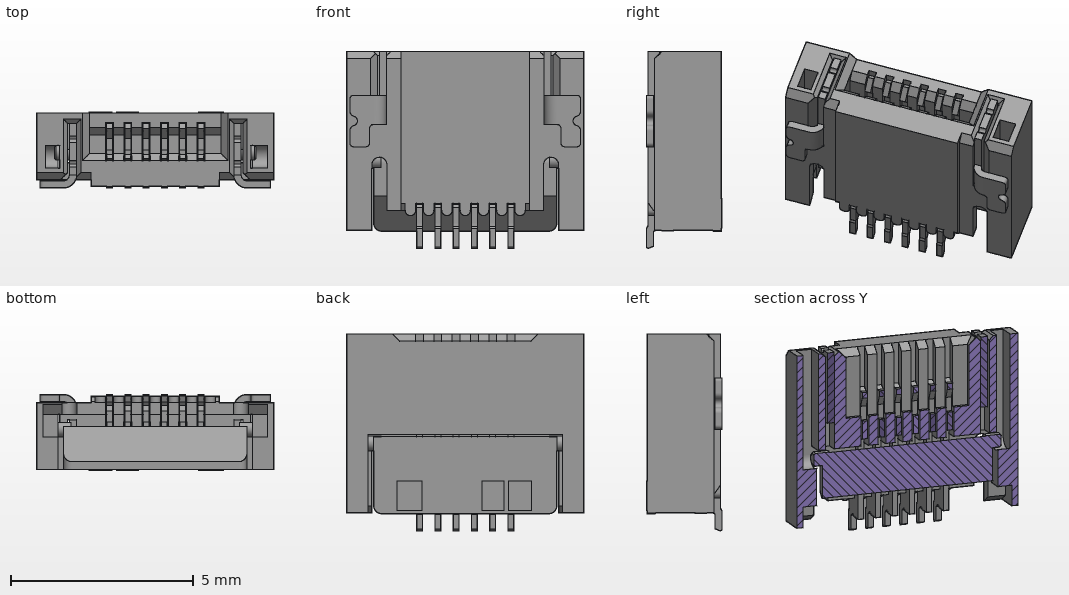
import cadquery as cq
import math


WIDTH = 6.5
HEIGHT = 4.9
DEPTH = 1.83
LEAD_IN = 0.2
MARGIN = 0.325

PAD_HALF = 1.755
PAD_RISE = 0.175
PAD_NOTCH_TOP_DEPTH = 0.02
PAD_NOTCH_BOTTOM_DEPTH = 0.15
WALL_HALF = 2.145
WALL_BOTTOM = 0.545

CONTACT_COUNT = 6
PITCH = 0.5
CONTACT_THICK = 0.16
SLOT_WIDTH = 0.215
TAIL_SLOT_TOP = 0.74
SOLDER_FRONT = -0.22
SOLDER_BACK = -0.02
TAIL_TIP = -0.5
STEM_FRONT = 0.325
STEM_BACK = 0.525
BRIDGE_BOTTOM = 2.34
BRIDGE_TOP = 2.86
CONTACT_BACK = 1.54
SLOT_BACK = 1.57
TIP_BACK_RISE = 0.065
TIP_FRONT_CUT = 0.045
JOG_BOTTOM = 0.045
JOG_MIDDLE_Y = -0.18
JOG_MIDDLE_Z = 0.11
JOG_TOP = 0.175
TAIL_TOP = 0.71
TAIL_TOP_CHAMFER = 0.08
ARM_TIP_FRONT = 0.59
ARM_TIP_EDGE = 0.695
ARM_TIP_TOP = 3.77
ARM_BACK = 0.715
ARM_BUMP_Y = 0.825
ARM_BUMP_TOP = 3.67
ARM_BUMP_MIDDLE = 3.51
ARM_BUMP_BOTTOM = 3.25
HOOK_ARM_FRONT = 1.33
HOOK_BOTTOM = 4.03
HOOK_POINT_Y = 1.13
HOOK_POINT_Z = 4.32
HOOK_TOP_Y = 1.405
HOOK_TOP = 4.615
HOOK_SHOULDER_Y = 1.49
HOOK_SHOULDER_Z = 4.575
HOOK_BACK_TOP = 4.54
BASE_BOTTOM = -0.02
BASE_FRONT = 0.23
ARCH_Y = 0.08
ARCH_Z = 0.04
ARCH_END_Z = -0.04

CAVITY_HALF = 1.795
CAVITY_FRONT = 0.73
CAVITY_BACK = 1.23
CAVITY_FLOOR = 2.99
BACK_WALL_TOP = HEIGHT - LEAD_IN

BAY_HALF = 2.66
BAY_FRONT = 0.325
BAY_TOP = 2.145
LEG_SLOT_TOP = 2.0
LEG_INNER = 2.555
ACTUATOR_HALF = 2.51
ACTUATOR_FRONT = 0.65
ACTUATOR_BOTTOM = -0.025
ACTUATOR_EDGE = 0.215
ACTUATOR_CORNER = 0.23
SLOPE_TOP = 0.94
NOSE_START = 1.825
NOSE_RADIUS = 0.26
AXLE_RADIUS = 0.2
AXLE_Y = 0.74
AXLE_Z = 1.9
AXLE_INNER = 2.3
AXLE_OUTER = 2.755
AXLE_CHAMFER = 0.045
BACK_PAD_RISE = 0.025
BACK_PAD_BOTTOM = 0.06
BACK_PAD_TOP = 0.87
BACK_PAD_SPANS = [(-1.81, -1.19), (-1.065, -0.455), (1.18, 1.87)]

RELIEF_TOP = 0.585
RELIEF_LEAD_TOP = 0.18
RELIEF_LEAD_FRONT = 0.05

WINDOW_INNER = 2.62
WINDOW_OUTER_LEFT = 3.0
WINDOW_OUTER_RIGHT = 3.07
WINDOW_FRONT = 0.325
WINDOW_BACK = 0.94

TAB_INNER = 2.15
TAB_THICK = 0.2
TAB_BACK = 1.55
TAB_BOTTOM = 2.89
FOOT_TOP = 3.7
FOOT_BOTTOM = 2.29
FOOT_OUTER = 3.16
FOOT_INNER = 2.62
FOOT_CORNER = 0.105
BEND_RADIUS = 0.36
FOOT_NOTCH_RADIUS = 0.13
FOOT_NOTCH_X = 3.08
FOOT_NOTCH_Z = 2.995
FOOT_NOTCH_EDGE_FILLET = 0.155
DIP_CENTRES = [1.12, 0.44]
DIP_HALF = 0.09
GROOVE_OUTER = 2.4
GROOVE_LEAD = 0.12
GROOVE_OPENING_FRONT = 0.475


def box(x0, x1, y0, y1, z0, z1):
    """Axis-aligned block between opposite corners."""
    return cq.Workplane("XY").box(x1 - x0, y1 - y0, z1 - z0, centered=False).translate((x0, y0, z0))


def prism_x(points, x0, x1):
    """Closed (y, z) outline extruded from x0 to x1."""
    return cq.Workplane("YZ").polyline(points).close().extrude(x1 - x0).translate((x0, 0, 0))


def mirrored(body):
    """Copy of a body on the other side of the YZ plane."""
    return body.mirror("YZ")


def contact_positions():
    first = -PITCH * (CONTACT_COUNT - 1) / 2
    return [first + i * PITCH for i in range(CONTACT_COUNT)]


def housing_shell():
    """Main block with the top front chamfer and the raised front pad."""
    side = [
        (0, 0), (DEPTH, 0), (DEPTH, HEIGHT),
        (LEAD_IN, HEIGHT), (0, HEIGHT - LEAD_IN),
    ]
    shell = prism_x(side, -WIDTH / 2, WIDTH / 2)
    pad_side = [
        (LEAD_IN, WALL_BOTTOM), (PAD_NOTCH_BOTTOM_DEPTH - PAD_RISE, WALL_BOTTOM),
        (PAD_NOTCH_TOP_DEPTH - PAD_RISE, TAIL_SLOT_TOP), (-PAD_RISE, TAIL_SLOT_TOP),
        (-PAD_RISE, HEIGHT), (LEAD_IN, HEIGHT),
    ]
    return shell.union(prism_x(pad_side, -PAD_HALF, PAD_HALF))


def actuator_bay():
    """Space behind the front wall for the actuator, open at the back and the bottom."""
    bay = box(-BAY_HALF, BAY_HALF, BAY_FRONT, DEPTH + MARGIN, -MARGIN, BAY_TOP)
    below_wall = box(-LEG_INNER, LEG_INNER, -MARGIN, BAY_FRONT, -MARGIN, WALL_BOTTOM)
    return bay.union(below_wall)


def leg_relief():
    """Hollow in the bottom of the left leg, with a sloped lead at the front."""
    side = [
        (RELIEF_LEAD_FRONT, 0), (BAY_FRONT, RELIEF_LEAD_TOP), (BAY_FRONT, RELIEF_TOP),
        (WINDOW_BACK, RELIEF_TOP), (WINDOW_BACK, 0),
    ]
    return prism_x(side, -WINDOW_OUTER_RIGHT, -LEG_INNER)


def leg_slot():
    """Round-topped slot between the left leg and the front wall."""
    radius = (LEG_INNER - WALL_HALF) / 2
    spring = LEG_SLOT_TOP - radius
    return (
        cq.Workplane("XZ", origin=(0, BAY_FRONT, 0))
        .moveTo(-LEG_INNER, -MARGIN)
        .lineTo(-LEG_INNER, spring)
        .threePointArc((-LEG_INNER + radius, LEG_SLOT_TOP), (-WALL_HALF, spring))
        .lineTo(-WALL_HALF, -MARGIN)
        .close()
        .extrude(BAY_FRONT + MARGIN)
    )


def cable_cavity():
    """Cable slot with lead-in chamfers; its back edge is lower than the front one."""
    mouth_half = CAVITY_HALF + LEAD_IN
    slope = CAVITY_BACK + LEAD_IN
    pocket_side = [
        (CAVITY_FRONT, CAVITY_FLOOR), (CAVITY_FRONT, BACK_WALL_TOP), (CAVITY_FRONT, HEIGHT),
        (DEPTH + MARGIN, HEIGHT), (DEPTH + MARGIN, BACK_WALL_TOP), (slope, BACK_WALL_TOP),
        (CAVITY_BACK, BACK_WALL_TOP - LEAD_IN), (CAVITY_BACK, CAVITY_FLOOR),
    ]
    pocket = prism_x(pocket_side, -CAVITY_HALF, CAVITY_HALF)
    mouth = (
        cq.Workplane("XZ")
        .polyline([
            (-CAVITY_HALF, BACK_WALL_TOP), (CAVITY_HALF, BACK_WALL_TOP),
            (mouth_half, HEIGHT), (-mouth_half, HEIGHT),
        ])
        .close()
        .extrude(-2 * DEPTH)
    )
    front_slope = [
        (CAVITY_FRONT - LEAD_IN, HEIGHT), (CAVITY_FRONT, BACK_WALL_TOP),
        (DEPTH + MARGIN, BACK_WALL_TOP), (DEPTH + MARGIN, HEIGHT),
    ]
    mouth = mouth.intersect(prism_x(front_slope, -mouth_half, mouth_half))
    return pocket.union(mouth)


def contact_slot(x):
    """Clearance for one contact: tail slot, stem and bridge recess, and arm slot."""
    left = x - SLOT_WIDTH / 2
    right = x + SLOT_WIDTH / 2
    tail = box(left, right, -MARGIN, BAY_FRONT, 0, TAIL_SLOT_TOP)
    bridge = box(left, right, STEM_FRONT, SLOT_BACK, BAY_TOP, BRIDGE_TOP)
    arms = box(left, right, STEM_BACK, SLOT_BACK, BRIDGE_TOP, HEIGHT)
    return tail.union(bridge).union(arms)


def wall_lobes():
    """Round-ended tongues below the pad, on both sides of every contact."""
    width = PITCH - SLOT_WIDTH
    lobes = cq.Workplane("XY")
    for i in range(CONTACT_COUNT + 1):
        x = (i - CONTACT_COUNT / 2) * PITCH
        lobe = (
            cq.Workplane("XZ")
            .moveTo(x - width / 2, TAIL_SLOT_TOP)
            .lineTo(x - width / 2, WALL_BOTTOM)
            .threePointArc((x, WALL_BOTTOM - width / 2), (x + width / 2, WALL_BOTTOM))
            .lineTo(x + width / 2, TAIL_SLOT_TOP)
            .close()
            .extrude(PAD_RISE)
        )
        lobes = lobes.union(lobe)
    return lobes


def axle_window(outer):
    """Left top window that ends in a rounded trough under the actuator axle."""
    radius = (WINDOW_BACK - WINDOW_FRONT) / 2
    middle = (WINDOW_BACK + WINDOW_FRONT) / 2
    shaft = box(-outer, -WINDOW_INNER, WINDOW_FRONT, WINDOW_BACK, AXLE_Z, HEIGHT)
    trough = (
        cq.Workplane("YZ")
        .center(middle, AXLE_Z)
        .circle(radius)
        .extrude(outer - WINDOW_INNER)
        .translate((-outer, 0, 0))
    )
    return shaft.union(trough)


def tab_groove():
    """Left groove for a hold-down tab, with chamfered mouth and front edge."""
    groove = box(-GROOVE_OUTER, -TAB_INNER, -MARGIN, TAB_BACK, TAB_BOTTOM, HEIGHT)
    opening = box(-GROOVE_OUTER, -TAB_INNER, GROOVE_OPENING_FRONT, TAB_BACK, BAY_TOP, TAB_BOTTOM)
    mouth_length = TAB_BACK + MARGIN
    mouth_width = GROOVE_OUTER - TAB_INNER
    mouth = (
        cq.Workplane("XY")
        .rect(mouth_width + 2 * GROOVE_LEAD, mouth_length + 2 * GROOVE_LEAD)
        .workplane(offset=-GROOVE_LEAD)
        .rect(mouth_width, mouth_length)
        .loft(ruled=True)
        .translate((-(GROOVE_OUTER + TAB_INNER) / 2, TAB_BACK - mouth_length / 2, HEIGHT))
    )
    front_edge = (
        cq.Workplane("XY")
        .polyline([(-GROOVE_OUTER - LEAD_IN, 0), (-GROOVE_OUTER, LEAD_IN), (-GROOVE_OUTER, 0)])
        .close()
        .extrude(HEIGHT - TAB_BOTTOM)
        .translate((0, 0, TAB_BOTTOM))
    )
    return groove.union(opening).union(mouth).union(front_edge)


def make_housing():
    body = housing_shell().cut(actuator_bay()).cut(cable_cavity())
    body = body.union(wall_lobes())
    for cutter in (leg_slot(), leg_relief(), tab_groove()):
        body = body.cut(cutter).cut(mirrored(cutter))
    body = body.cut(axle_window(WINDOW_OUTER_LEFT)).cut(mirrored(axle_window(WINDOW_OUTER_RIGHT)))
    for x in contact_positions():
        body = body.cut(contact_slot(x))
    return body


def make_contact(x):
    """Flat stamped contact: solder tail, stem, bridge and two spring arms."""
    tail = [
        (SOLDER_BACK, TAIL_TIP + TIP_BACK_RISE), (SOLDER_FRONT + TIP_FRONT_CUT, TAIL_TIP),
        (SOLDER_FRONT, TAIL_TIP + TIP_FRONT_CUT), (SOLDER_FRONT, JOG_BOTTOM),
        (JOG_MIDDLE_Y, JOG_MIDDLE_Z), (-PAD_RISE, JOG_TOP),
        (-PAD_RISE, TAIL_TOP - TAIL_TOP_CHAMFER), (-PAD_RISE + TAIL_TOP_CHAMFER, TAIL_TOP),
    ]
    front_arm = [
        (STEM_FRONT, TAIL_TOP), (STEM_FRONT, BRIDGE_TOP), (STEM_BACK, BRIDGE_TOP),
        (ARM_TIP_FRONT, ARM_TIP_TOP), (ARM_TIP_EDGE, ARM_BUMP_TOP), (ARM_BUMP_Y, ARM_BUMP_TOP),
        (ARM_BUMP_Y, ARM_BUMP_MIDDLE), (ARM_BACK, ARM_BUMP_BOTTOM), (ARM_BACK, BRIDGE_TOP),
    ]
    back_arm = [
        (HOOK_ARM_FRONT, BRIDGE_TOP), (HOOK_ARM_FRONT, HOOK_BOTTOM), (HOOK_POINT_Y, HOOK_POINT_Z),
        (HOOK_TOP_Y, HOOK_TOP), (HOOK_SHOULDER_Y, HOOK_SHOULDER_Z), (CONTACT_BACK, HOOK_BACK_TOP),
        (CONTACT_BACK, BRIDGE_BOTTOM),
    ]
    base = [
        (STEM_BACK, BRIDGE_BOTTOM), (STEM_BACK, BASE_BOTTOM), (BASE_FRONT, BASE_BOTTOM),
        (ARCH_Y, ARCH_Z), (SOLDER_BACK, ARCH_END_Z),
    ]
    outline = tail + front_arm + back_arm + base
    return prism_x(outline, x - CONTACT_THICK / 2, x + CONTACT_THICK / 2)


def tab_plate():
    """Upright plate of the left tab, with shallow dips in its top edge."""
    front = SOLDER_FRONT + BEND_RADIUS
    plate = box(-TAB_INNER - TAB_THICK, -TAB_INNER, front, TAB_BACK, TAB_BOTTOM, HEIGHT)
    for y in DIP_CENTRES:
        rise = DIP_HALF * math.sqrt(0.5)
        dip = (
            cq.Workplane("YZ")
            .moveTo(y - DIP_HALF, HEIGHT)
            .lineTo(y, HEIGHT - DIP_HALF)
            .threePointArc((y + rise, HEIGHT - rise), (y + DIP_HALF, HEIGHT))
            .close()
            .extrude(-WIDTH / 2)
        )
        plate = plate.cut(dip)
    return plate


def tab_bend():
    """Quarter bend joining the upright plate to the foot."""
    inner = BEND_RADIUS - TAB_THICK
    centre_x = -TAB_INNER - BEND_RADIUS
    centre_y = SOLDER_FRONT + BEND_RADIUS
    quarter = box(centre_x, centre_x + BEND_RADIUS, SOLDER_FRONT, centre_y, TAB_BOTTOM, FOOT_TOP)
    ring = (
        cq.Workplane("XY")
        .center(centre_x, centre_y)
        .circle(BEND_RADIUS)
        .circle(inner)
        .extrude(FOOT_TOP)
    )
    return ring.intersect(quarter)


def tab_foot():
    """Flat solder foot with a rounded notch in its outer edge."""
    bend_edge = -TAB_INNER - BEND_RADIUS
    foot = (
        cq.Workplane("XZ")
        .polyline([
            (bend_edge, FOOT_TOP), (-FOOT_OUTER, FOOT_TOP), (-FOOT_OUTER, FOOT_BOTTOM),
            (-FOOT_INNER, FOOT_BOTTOM), (-FOOT_INNER, TAB_BOTTOM), (bend_edge, TAB_BOTTOM),
        ])
        .close()
        .extrude(TAB_THICK)
        .translate((0, SOLDER_BACK, 0))
    )
    foot = foot.edges("|Y").edges("<X or <Z").fillet(FOOT_CORNER)
    inside_corner = cq.selectors.NearestToPointSelector(
        (-FOOT_INNER, SOLDER_BACK - TAB_THICK / 2, TAB_BOTTOM)
    )
    foot = foot.edges(inside_corner).fillet(FOOT_CORNER)
    notch = (
        cq.Workplane("XZ")
        .center(-FOOT_NOTCH_X, FOOT_NOTCH_Z)
        .circle(FOOT_NOTCH_RADIUS)
        .extrude(WIDTH, both=True)
    )
    foot = foot.cut(notch)
    notch_rim = cq.selectors.BoxSelector(
        (-FOOT_NOTCH_X, SOLDER_FRONT, FOOT_NOTCH_Z - FOOT_NOTCH_RADIUS),
        (-WIDTH / 2, SOLDER_BACK, FOOT_NOTCH_Z + FOOT_NOTCH_RADIUS),
    )
    return foot.edges("|Y").edges(notch_rim).fillet(FOOT_NOTCH_EDGE_FILLET)


def make_tab():
    return tab_plate().union(tab_bend()).union(tab_foot())


def make_actuator():
    """Flip actuator: wedge-shaped plate with a rounded nose, two axles and raised back pads."""
    nose_mid = NOSE_RADIUS * (1 - math.sqrt(0.5))
    plate = (
        cq.Workplane("YZ")
        .moveTo(DEPTH, ACTUATOR_BOTTOM)
        .lineTo(DEPTH - ACTUATOR_EDGE, ACTUATOR_BOTTOM)
        .lineTo(ACTUATOR_FRONT, SLOPE_TOP)
        .lineTo(ACTUATOR_FRONT, NOSE_START)
        .threePointArc(
            (ACTUATOR_FRONT + nose_mid, NOSE_START + NOSE_RADIUS - nose_mid),
            (ACTUATOR_FRONT + NOSE_RADIUS, NOSE_START + NOSE_RADIUS),
        )
        .lineTo(DEPTH, NOSE_START + NOSE_RADIUS)
        .close()
        .extrude(ACTUATOR_HALF, both=True)
    )
    rounding = box(-ACTUATOR_HALF, ACTUATOR_HALF, 0, DEPTH, ACTUATOR_BOTTOM, HEIGHT)
    plate = plate.intersect(rounding.edges("|Y and <Z").fillet(ACTUATOR_CORNER))
    axle = (
        cq.Workplane("YZ")
        .center(AXLE_Y, AXLE_Z)
        .circle(AXLE_RADIUS)
        .extrude(AXLE_OUTER - AXLE_INNER)
        .translate((-AXLE_OUTER, 0, 0))
        .faces("<X")
        .chamfer(AXLE_CHAMFER)
    )
    plate = plate.union(axle).union(mirrored(axle))
    for x0, x1 in BACK_PAD_SPANS:
        pad = box(x0, x1, DEPTH - ACTUATOR_EDGE, DEPTH + BACK_PAD_RISE, BACK_PAD_BOTTOM, BACK_PAD_TOP)
        plate = plate.union(pad)
    return plate


housing = make_housing()
contacts = [make_contact(x) for x in contact_positions()]
left_tab = make_tab()
tabs = [left_tab, mirrored(left_tab)]
actuator = make_actuator()

bodies = [housing, *contacts, *tabs, actuator]
result = cq.Compound.makeCompound([body.solids().val() for body in bodies])